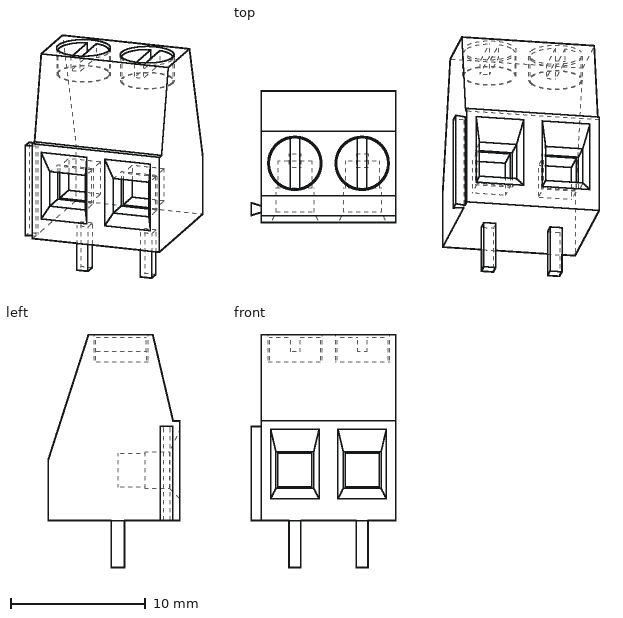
import cadquery as cq


pole_count = 2
pitch = 5.0
housing_width = pole_count * pitch
housing_depth = 9.8
overall_width = 10.75
overall_height = 17.3
pin_length = 3.5
housing_height = overall_height - pin_length
lip_depth = 0.5
lip_height = 7.4
top_front = 2.0
top_back = 6.8
back_wall_height = 4.5

pin_width = 0.9
pin_depth = 1.0
pin_center_y = 4.6

rib_projection = overall_width - housing_width
rib_height = 7.0
rib_center_y = 1.0
rib_root_width = 0.5
rib_outer_width = 0.95

mouth_width = 3.6
mouth_bottom = 1.61
mouth_top = 6.8
mouth_depth = 0.8
passage_width = 2.8
passage_bottom = 2.4
passage_top = 5.1
passage_depth = 1.8
clamp_size = 2.5
clamp_depth = 2.0

screw_center_y = (top_front + top_back) / 2
bore_diameter = 4.0
head_diameter = 3.8
head_recess = 0.2
slot_width = 0.71
slot_depth = 1.0
clearance_depth = 1.8


def front_plane(y):
    """Workplane parallel to the front face, y behind it, facing into the housing."""
    return cq.Workplane(cq.Plane(origin=(0, y, 0), xDir=(-1, 0, 0), normal=(0, 1, 0)))


def centered_rectangle(plane, center_x, width, bottom, top):
    """Upright rectangle on a front plane, whose local x axis runs along -X."""
    return plane.center(-center_x, (bottom + top) / 2).rect(width, top - bottom)


def make_housing():
    profile = [
        (0, 0),
        (housing_depth, 0),
        (housing_depth, back_wall_height),
        (top_back, housing_height),
        (top_front, housing_height),
        (lip_depth, lip_height),
        (0, lip_height),
    ]
    return cq.Workplane("YZ").polyline(profile).close().extrude(housing_width)


def make_rib():
    profile = [
        (0, rib_center_y - rib_root_width / 2),
        (0, rib_center_y + rib_root_width / 2),
        (-rib_projection, rib_center_y + rib_outer_width / 2),
        (-rib_projection, rib_center_y - rib_outer_width / 2),
    ]
    return cq.Workplane("XY").polyline(profile).close().extrude(rib_height)


def make_pin(center_x):
    return (
        cq.Workplane("XY")
        .center(center_x, pin_center_y)
        .rect(pin_width, pin_depth)
        .extrude(-pin_length)
    )


def make_wire_entry(center_x):
    mouth_center_z = (mouth_bottom + mouth_top) / 2
    passage_center_z = (passage_bottom + passage_top) / 2
    mouth = (
        centered_rectangle(front_plane(0), center_x, mouth_width, mouth_bottom, mouth_top)
        .workplane(offset=mouth_depth)
        .center(0, passage_center_z - mouth_center_z)
        .rect(passage_width, passage_top - passage_bottom)
        .loft(ruled=True)
    )
    passage = centered_rectangle(
        front_plane(mouth_depth), center_x, passage_width, passage_bottom, passage_top
    ).extrude(passage_depth)
    clamp = (
        front_plane(mouth_depth + passage_depth)
        .center(-center_x, passage_center_z)
        .rect(clamp_size, clamp_size)
        .extrude(clamp_depth)
    )
    return mouth.union(passage).union(clamp)


def make_screw_bore(center_x):
    """Material removed above the screw head, in the ring around it and in its slot."""
    top = cq.Workplane("XY", origin=(center_x, screw_center_y, housing_height))
    head_top = top.workplane(offset=-head_recess)
    bore = top.circle(bore_diameter / 2).extrude(-head_recess - clearance_depth)
    head = head_top.circle(head_diameter / 2).extrude(-clearance_depth)
    slot = head_top.rect(slot_width, bore_diameter).extrude(-slot_depth)
    return bore.cut(head.cut(slot))


result = make_housing().union(make_rib())
for pole in range(pole_count):
    pole_x = (pole + 0.5) * pitch
    result = result.union(make_pin(pole_x))
    result = result.cut(make_wire_entry(pole_x))
    result = result.cut(make_screw_bore(pole_x))